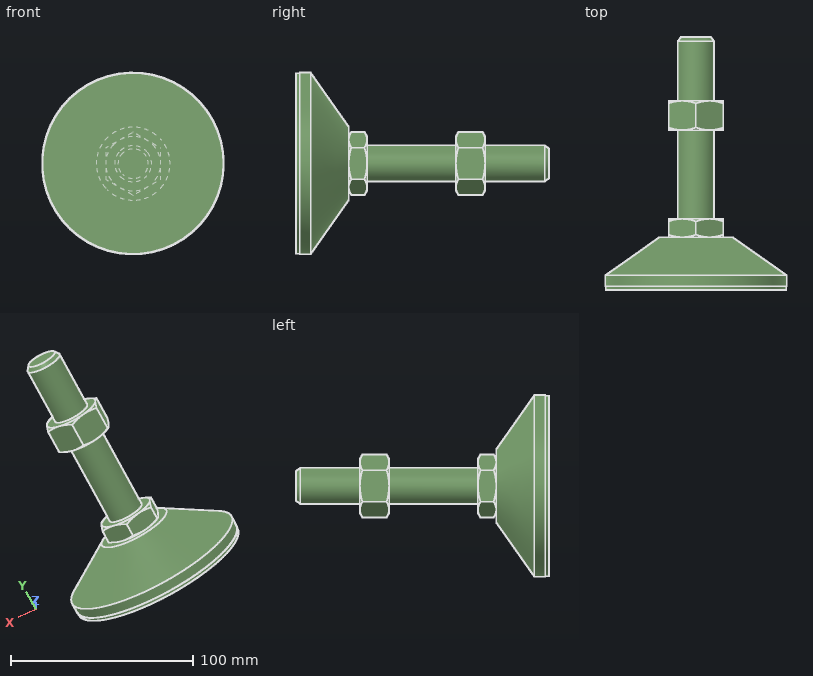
import cadquery as cq
import math

total_length = 139.0
foot_diameter = 100.0
pad_diameter = 99.2
pad_height = 2.1
rim_top = 8.0
cone_top_diameter = 40.3
cone_top = 29.0

stud_diameter = 20.0
stud_chamfer = 2.5
stud_tip_diameter = 16.4

nut_across_flats = 30.0
nut_across_corners = nut_across_flats / math.cos(math.pi / 6)
nut_chamfer_angle = math.radians(30)
lock_nut_height = 10.0
upper_nut_start = 87.8
upper_nut_height = 16.0


def revolve_about_y(profile):
    """Turn a closed (radius, y) outline about the Y axis."""
    return cq.Workplane("XY").polyline(profile).close().revolve(360, (0, 0), (0, 1))


def make_foot():
    """Conical foot with a slightly narrower pad underneath."""
    return revolve_about_y([
        (0, 0),
        (pad_diameter / 2, 0),
        (pad_diameter / 2, pad_height),
        (foot_diameter / 2, pad_height),
        (foot_diameter / 2, rim_top),
        (cone_top_diameter / 2, cone_top),
        (0, cone_top),
    ])


def make_stud():
    """Round stud with a chamfered free end, rising from the foot."""
    return revolve_about_y([
        (0, pad_height),
        (stud_diameter / 2, pad_height),
        (stud_diameter / 2, total_length - stud_chamfer),
        (stud_tip_diameter / 2, total_length),
        (0, total_length),
    ])


def make_nut(start, height):
    """Hexagon with corners on +Z and -Z, its corners chamfered conically."""
    flat_radius = nut_across_flats / 2
    corner_radius = nut_across_corners / 2
    corner_drop = (corner_radius - flat_radius) * math.tan(nut_chamfer_angle)
    end = start + height
    hexagon = (
        cq.Workplane("XZ", origin=(0, start, 0))
        .transformed(rotate=(0, 0, 90))
        .polygon(6, nut_across_corners)
        .extrude(-height)
    )
    envelope = revolve_about_y([
        (0, start),
        (flat_radius, start),
        (corner_radius, start + corner_drop),
        (corner_radius, end - corner_drop),
        (flat_radius, end),
        (0, end),
    ])
    return hexagon.intersect(envelope)


lock_nut = make_nut(cone_top, lock_nut_height)
upper_nut = make_nut(upper_nut_start, upper_nut_height)
result = make_foot().union(make_stud()).union(lock_nut).union(upper_nut)